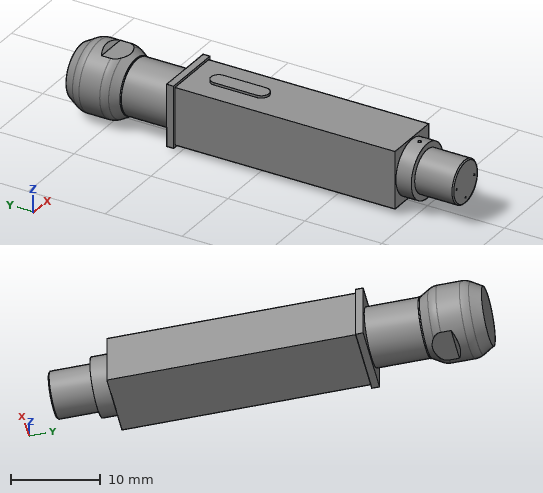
import cadquery as cq
import math

total_length = 49.9

collar_front = 5.0
body_front = 7.0
flange_front = 35.6
flange_rear = 36.5
head_front = 42.65

plug_radius = 2.75
plug_chamfer = 0.15
collar_radius = 3.5
body_width = 7.4
flange_width = 8.0
neck_radius = 3.5

head_radius = 4.45
rim_radius = 3.55
blend_radius = 2.0
cone_angle = math.radians(30)
front_blend_start = total_length - 5.0
rear_blend_start = total_length - 2.3

flat_height = 3.95
flat_rear = total_length - 3.8
cutter_clearance = 0.5

pad_length = 7.55
pad_width = 2.0
pad_front = 25.55
pad_top = flange_width / 2

mark_diameter = 0.4
mark_depth = 0.25
contact_diameter = 0.2
contact_depth = 0.25
contact_offset = 1.95


def cylinder(radius, start, end):
    """Round section along Y between two stations."""
    return cq.Workplane("XZ", origin=(0, start, 0)).circle(radius).extrude(start - end)


def square_bar(width, start, end):
    """Square section along Y between two stations."""
    return cq.Workplane("XZ", origin=(0, start, 0)).rect(width, width).extrude(start - end)


def blend_point(station, direction, angle):
    """Radius and station on a blend arc where its slope has turned by the given angle."""
    radius = head_radius - blend_radius * (1 - math.cos(angle))
    return radius, station + direction * blend_radius * math.sin(angle)


def make_head():
    """Revolved head with its two wrench flats."""
    front_middle = blend_point(front_blend_start, -1, cone_angle / 2)
    front_end = blend_point(front_blend_start, -1, cone_angle)
    rim_end = front_end[1] - (front_end[0] - rim_radius) / math.tan(cone_angle)
    rear_middle = blend_point(rear_blend_start, 1, cone_angle / 2)
    rear_end = blend_point(rear_blend_start, 1, cone_angle)
    rear_cone_length = total_length - rear_end[1]
    rear_face_radius = rear_end[0] - rear_cone_length * math.tan(cone_angle)
    head = (
        cq.Workplane("XY")
        .moveTo(0, head_front)
        .lineTo(rim_radius, head_front)
        .lineTo(rim_radius, rim_end)
        .lineTo(*front_end)
        .threePointArc(front_middle, (head_radius, front_blend_start))
        .lineTo(head_radius, rear_blend_start)
        .threePointArc(rear_middle, rear_end)
        .lineTo(rear_face_radius, total_length)
        .lineTo(0, total_length)
        .close()
        .revolve(360, (0, 0, 0), (0, 1, 0))
    )
    cut_top = head_radius + cutter_clearance
    cutter = (
        cq.Workplane("YZ")
        .moveTo(head_front, flat_height)
        .lineTo(flat_rear, flat_height)
        .lineTo(flat_rear + cut_top - flat_height, cut_top)
        .lineTo(head_front, cut_top)
        .close()
        .extrude(head_radius, both=True)
    )
    return head.cut(cutter).cut(cutter.mirror("XY"))


def make_pad():
    """Oblong pad, sunk to the body's centre so that it joins solidly."""
    return (
        cq.Workplane("XY", origin=(0, pad_front + pad_length / 2, 0))
        .slot2D(pad_length, pad_width, 90)
        .extrude(pad_top)
    )


def make_contact_holes():
    """Three small holes in the plug face: left, right and below the axis."""
    places = [(-contact_offset, 0), (contact_offset, 0), (0, -contact_offset)]
    return cq.Workplane("XZ").pushPoints(places).circle(contact_diameter / 2).extrude(-contact_depth)


def make_mark_hole():
    """Small radial hole in the top of the collar."""
    middle = (collar_front + body_front) / 2
    return (
        cq.Workplane("XY", origin=(0, middle, collar_radius - mark_depth))
        .circle(mark_diameter / 2)
        .extrude(2 * mark_depth)
    )


plug = cylinder(plug_radius, 0, collar_front).faces("<Y").chamfer(plug_chamfer)

result = (
    plug.union(cylinder(collar_radius, collar_front, body_front))
    .union(square_bar(body_width, body_front, flange_front))
    .union(square_bar(flange_width, flange_front, flange_rear))
    .union(cylinder(neck_radius, flange_rear, head_front))
    .union(make_head())
    .union(make_pad())
    .cut(make_contact_holes())
    .cut(make_mark_hole())
)